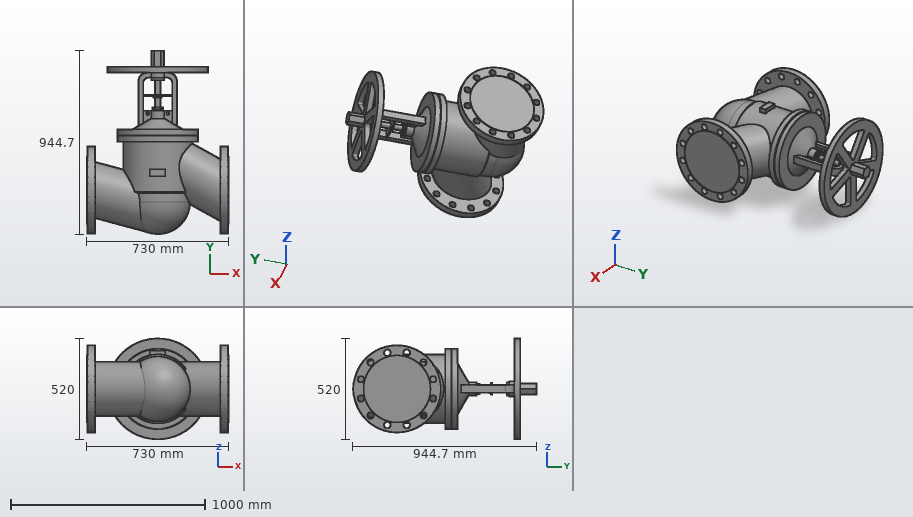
import cadquery as cq
import math


face_to_face = 730.0
port_flange_diameter = 450.0
port_flange_thickness = 40.0
raised_face_diameter = 345.0
raised_face_height = 3.0
bolt_circle_diameter = 385.0
bolt_hole_diameter = 33.0
bolt_hole_count = 12

pipe_radius = 140.0
inlet_slope = 15.0
outlet_slope = 29.0
inlet_end_x = 7.0
outlet_end_x = 60.0

body_radius = 178.0
bowl_radius = 167.5
bowl_center_y = -59.5
step_bottom_y = -15.5
step_top_y = -9.0

pad_length = 80.0
pad_width = 36.0
pad_center_y = 90.0
pad_top_z = 197.0

bonnet_flange_radius = 207.5
bonnet_flange_thickness = 30.5
bonnet_flange_bottom_y = 248.0
gasket_radius = 204.0
gasket_thickness = 3.0
bonnet_joint_y = bonnet_flange_bottom_y + bonnet_flange_thickness
bonnet_top_y = bonnet_joint_y + gasket_thickness + bonnet_flange_thickness
cone_base_radius = 131.5
cone_top_y = 368.0
neck_radius = 34.5
neck_top_y = 409.0

stem_radius = 15.0
gland_radius = 22.0
gland_collar_radius = 27.5
gland_collar_bottom_y = 415.0
gland_collar_top_y = 425.5
guide_collar_bottom_y = 475.0
guide_plate_bottom_y = 483.5
guide_plate_length = 132.0
guide_plate_width = 62.0
guide_plate_thickness = 7.0

yoke_half_width = 100.0
yoke_bar = 26.0
yoke_depth = 41.0
yoke_top_y = 604.0
yoke_outer_radius = 46.0
yoke_inner_radius = 26.0
yoke_hub_radius = 40.0
yoke_hub_bottom_y = yoke_top_y - yoke_bar
bush_height = 14.0

web_thickness = 10.0
web_hole_diameter = 13.0
web_hole_x = 52.0
web_hole_y = 394.0

wheel_radius = 260.0
wheel_thickness = 31.0
wheel_rim_inner_radius = 205.0
spoke_count = 5
spoke_width = 50.0
window_corner_radius = 10.0
nut_across_corners = 67.0
overall_y = 944.68
nut_top_y = overall_y + bowl_center_y - bowl_radius
wheel_top_y = yoke_top_y + wheel_thickness


def cylinder_y(radius, bottom_y, top_y):
    """Solid cylinder about the Y axis."""
    return cq.Workplane("XZ", origin=(0, bottom_y, 0)).circle(radius).extrude(bottom_y - top_y)


def box(length_x, bottom_y, top_y, depth_z):
    """Block centred on the YZ and XY planes."""
    center_y = (bottom_y + top_y) / 2
    return cq.Workplane("XY").box(length_x, top_y - bottom_y, depth_z).translate((0, center_y, 0))


def port_flange(side):
    """Drilled raised-face flange; side is -1 or +1 along X."""
    face_x = face_to_face / 2
    back_x = face_x - raised_face_height - port_flange_thickness
    flange = (
        cq.Workplane("YZ", origin=(back_x, 0, 0))
        .circle(port_flange_diameter / 2)
        .extrude(port_flange_thickness)
        .faces(">X")
        .workplane()
        .circle(raised_face_diameter / 2)
        .extrude(raised_face_height)
    )
    first_hole_angle = 180 / bolt_hole_count
    holes = (
        cq.Workplane("YZ", origin=(back_x, 0, 0))
        .polarArray(bolt_circle_diameter / 2, first_hole_angle, 360, bolt_hole_count)
        .circle(bolt_hole_diameter / 2)
        .extrude(port_flange_thickness + raised_face_height)
    )
    flange = flange.cut(holes)
    return flange if side > 0 else flange.mirror("YZ")


def port_pipe(side, slope, end_x):
    """Sloping pipe from the flange back face to end_x inside the body."""
    flange_x = side * (face_to_face / 2 - raised_face_height - port_flange_thickness)
    angle = math.radians(slope)
    trim_margin = pipe_radius * math.tan(angle)
    start_x = flange_x + side * trim_margin
    direction = cq.Vector(-side * math.cos(angle), side * math.sin(angle), 0)
    start = cq.Vector(start_x, -side * trim_margin * math.tan(angle), 0)
    length = abs(end_x - start_x) / math.cos(angle)
    pipe = cq.Workplane(cq.Solid.makeCylinder(pipe_radius, length, start, direction))
    trim_size = 4 * pipe_radius
    trim_center_x = flange_x + side * trim_size / 2
    trim = cq.Workplane("XY").box(trim_size, trim_size, trim_size).translate((trim_center_x, 0, 0))
    return pipe.cut(trim)


def body_and_bonnet():
    """Turned body: spherical bowl, barrel, bonnet flanges, cone and neck."""
    return (
        cq.Workplane("XY")
        .moveTo(0, bowl_center_y - bowl_radius)
        .radiusArc((bowl_radius, bowl_center_y), -bowl_radius)
        .lineTo(bowl_radius, step_bottom_y)
        .lineTo(body_radius, step_top_y)
        .lineTo(body_radius, bonnet_flange_bottom_y)
        .lineTo(bonnet_flange_radius, bonnet_flange_bottom_y)
        .lineTo(bonnet_flange_radius, bonnet_joint_y)
        .lineTo(gasket_radius, bonnet_joint_y)
        .lineTo(gasket_radius, bonnet_joint_y + gasket_thickness)
        .lineTo(bonnet_flange_radius, bonnet_joint_y + gasket_thickness)
        .lineTo(bonnet_flange_radius, bonnet_top_y)
        .lineTo(cone_base_radius, bonnet_top_y)
        .lineTo(neck_radius, cone_top_y)
        .lineTo(neck_radius, neck_top_y)
        .lineTo(0, neck_top_y)
        .close()
        .revolve(360, (0, 0, 0), (0, 1, 0))
    )


def label_pad():
    pad = cq.Workplane("XY").rect(pad_length, pad_width).extrude(pad_top_z)
    return pad.translate((0, pad_center_y, 0))


def yoke():
    """Arch with two legs, a hub at its crown and a web plate at its foot."""
    inner_half_width = yoke_half_width - yoke_bar
    arch = (
        box(2 * yoke_half_width, bonnet_top_y, yoke_top_y, yoke_depth)
        .edges("|Z and >Y")
        .fillet(yoke_outer_radius)
    )
    opening = (
        box(2 * inner_half_width, bonnet_top_y, yoke_top_y - yoke_bar, yoke_depth)
        .edges("|Z and >Y")
        .fillet(yoke_inner_radius)
    )
    web = box(2 * inner_half_width, bonnet_top_y, neck_top_y, web_thickness)
    web_holes = (
        cq.Workplane("XY")
        .pushPoints([(-web_hole_x, web_hole_y), (web_hole_x, web_hole_y)])
        .circle(web_hole_diameter / 2)
        .extrude(web_thickness, both=True)
    )
    hub = cylinder_y(yoke_hub_radius, yoke_hub_bottom_y, yoke_top_y)
    bush = cylinder_y(neck_radius, yoke_hub_bottom_y - bush_height, yoke_hub_bottom_y)
    return arch.cut(opening).union(web.cut(web_holes)).union(hub).union(bush)


def stem():
    """Stem with its gland and the guide plate that slides between the yoke legs."""
    guide_plate_top_y = guide_plate_bottom_y + guide_plate_thickness
    return (
        cylinder_y(stem_radius, neck_top_y, yoke_top_y)
        .union(cylinder_y(gland_radius, neck_top_y, gland_collar_bottom_y))
        .union(cylinder_y(gland_collar_radius, gland_collar_bottom_y, gland_collar_top_y))
        .union(cylinder_y(gland_radius, guide_collar_bottom_y, guide_plate_bottom_y))
        .union(box(guide_plate_length, guide_plate_bottom_y, guide_plate_top_y, guide_plate_width))
    )


def wheel_window():
    """Opening between two spokes, centred on the +Z direction."""
    half_angle = math.pi / spoke_count
    half_spoke = spoke_width / 2
    tip_z = half_spoke / math.sin(half_angle)
    corner_angle = half_angle - math.asin(half_spoke / wheel_rim_inner_radius)
    corner_x = wheel_rim_inner_radius * math.sin(corner_angle)
    corner_z = wheel_rim_inner_radius * math.cos(corner_angle)
    return (
        cq.Workplane("XZ", origin=(0, yoke_top_y, 0))
        .moveTo(0, tip_z)
        .lineTo(corner_x, corner_z)
        .threePointArc((0, wheel_rim_inner_radius), (-corner_x, corner_z))
        .close()
        .extrude(-wheel_thickness)
        .edges("|Y")
        .fillet(window_corner_radius)
    )


def handwheel():
    wheel = cylinder_y(wheel_radius, yoke_top_y, wheel_top_y)
    window = wheel_window()
    for index in range(spoke_count):
        turn = index * 360 / spoke_count
        wheel = wheel.cut(window.rotate((0, 0, 0), (0, 1, 0), turn))
    return wheel


def stem_nut():
    """Hexagonal nut above the wheel, with corners on the X axis."""
    nut = cq.Workplane("XZ", origin=(0, wheel_top_y, 0)).polygon(6, nut_across_corners)
    return nut.extrude(wheel_top_y - nut_top_y)


result = (
    body_and_bonnet()
    .union(port_pipe(-1, inlet_slope, inlet_end_x))
    .union(port_pipe(1, outlet_slope, outlet_end_x))
    .union(port_flange(-1))
    .union(port_flange(1))
    .union(label_pad())
    .union(yoke())
    .union(stem())
    .union(handwheel())
    .union(stem_nut())
)